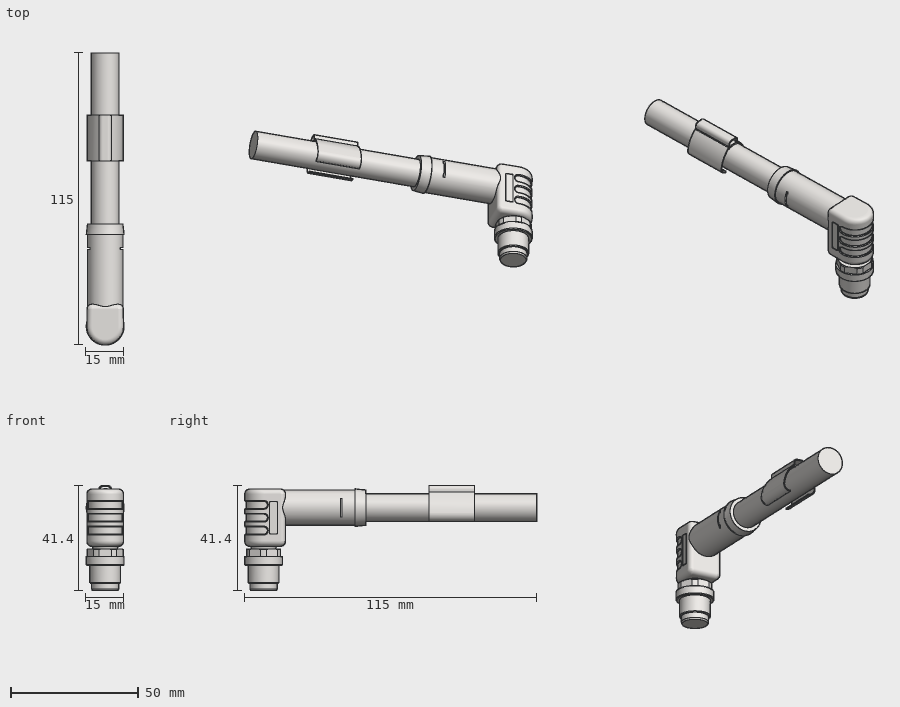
import cadquery as cq
import math


cable_radius = 5.5
cable_end_y = 107.5

front_half_width = 7.2
front_y = -7.5
front_arc_start_y = 0.2
rear_half_width = 7.1
rear_y = 8.6
elbow_top_z = 7.4
elbow_bottom_z = -15.3
elbow_middle_z = (elbow_top_z + elbow_bottom_z) / 2
rear_corner_radius = 1.8
rim_radius = 2.1

groove_count = 3
groove_pitch = 5.1
groove_height = 2.8
groove_depth = 0.6
groove_rear_y = 1.5
groove_edge_bevel = 0.3

label_length = 12.8
label_width = 3.0
label_y = 3.9
label_floor_x = 6.9
label_corner_radius = 0.3

sleeve_radius = 7.0
sleeve_start_y = 4.6
flare_radius = 7.5
flare_start_y = 36.0
sleeve_end_y = 40.2
notch_y = 30.6
notch_width = 0.7
notch_floor_x = 6.0

neck_top_radius = 5.1
neck_bottom_radius = 4.8

hex_top_z = -16.2
collar_top_z = -19.3
collar_bottom_z = -22.8
barrel_bottom_z = -29.8
tip_bottom_z = -32.7
hex_apothem = 6.7
hex_corner_radius = 7.1
hex_turn = 30
collar_radius = 7.5
barrel_radius = 6.1
tip_radius = 5.4
nut_chamfer = 0.3
tip_taper_height = 0.7

clip_start_y = 65.1
clip_length = 17.9
clip_wall = 0.5
clip_top_z = 8.7
clip_bottom_z = -5.4
handle_half_width = 2.5
handle_corner_radius = 1.6
handle_base_z = 6.2
flank_radius = 12.6
clip_half_width = 7.1
flank_bottom_z = -2.3
lip_half_gap = 4.1
floor_outer_radius = 6.3
floor_inner_radius = 5.6


def cylinder_along_y(radius, start_y, end_y):
    return cq.Workplane("XZ", origin=(0, start_y, 0)).circle(radius).extrude(start_y - end_y)


def make_cable():
    return cylinder_along_y(cable_radius, sleeve_end_y, cable_end_y)


def elbow_footprint(inset=0):
    """D-shaped outline seen along the plug axis, moved inwards by the inset at its front and sides."""
    half_width = front_half_width - inset
    rear = rear_half_width - inset
    return (
        cq.Workplane("XY", origin=(0, 0, elbow_bottom_z))
        .moveTo(-rear, rear_y)
        .lineTo(-half_width, front_arc_start_y)
        .threePointArc((0, front_y + inset), (half_width, front_arc_start_y))
        .lineTo(rear, rear_y)
        .close()
    )


def mouth_edges(elbow, middle_z):
    """Edges around a groove at the given height that lie on the outer surface of the elbow."""
    below_surface = elbow_footprint(groove_depth / 3).extrude(elbow_top_z - elbow_bottom_z).val()
    reach = groove_pitch / 3
    return [
        edge
        for edge in elbow.edges().vals()
        if abs(edge.BoundingBox().zmin - middle_z) < reach
        and abs(edge.BoundingBox().zmax - middle_z) < reach
        and not below_surface.isInside(edge.positionAt(0.5))
    ]


def cut_groove(elbow, middle_z):
    """Cut one round-ended groove around the front of the elbow and bevel its outer edges."""
    half_height = groove_height / 2
    slot = (
        cq.Workplane("YZ", origin=(2 * front_y, 0, middle_z))
        .moveTo(2 * front_y, half_height)
        .lineTo(groove_rear_y - half_height, half_height)
        .threePointArc((groove_rear_y, 0), (groove_rear_y - half_height, -half_height))
        .lineTo(2 * front_y, -half_height)
        .close()
        .extrude(-4 * front_y)
    )
    core = elbow_footprint(groove_depth).extrude(elbow_top_z - elbow_bottom_z)
    elbow = elbow.cut(slot.cut(core))
    return elbow.newObject(mouth_edges(elbow, middle_z)).chamfer(groove_edge_bevel)


def make_elbow():
    elbow = elbow_footprint().extrude(elbow_top_z - elbow_bottom_z)
    elbow = elbow.edges("|Z and >Y").fillet(rear_corner_radius)
    elbow = elbow.faces("<Z or >Z").edges().fillet(rim_radius)
    for index in range(groove_count):
        offset = (index - (groove_count - 1) / 2) * groove_pitch
        elbow = cut_groove(elbow, elbow_middle_z + offset)
    return elbow


def cut_label_recesses(housing):
    for side in (-1, 1):
        recess = (
            cq.Workplane("YZ", origin=(side * label_floor_x, 0, 0))
            .center(label_y, elbow_middle_z)
            .rect(label_width, label_length)
            .extrude(side * front_half_width)
            .edges("|X")
            .fillet(label_corner_radius)
        )
        housing = housing.cut(recess)
    return housing


def make_sleeve():
    sleeve = cylinder_along_y(sleeve_radius, sleeve_start_y, flare_start_y)
    flare = (
        cq.Workplane("XZ", origin=(0, flare_start_y, 0))
        .circle(flare_radius)
        .workplane(offset=flare_start_y - sleeve_end_y)
        .circle(sleeve_radius)
        .loft()
    )
    for side in (-1, 1):
        notch = cq.Workplane("XY").box(sleeve_radius, notch_width, 2 * sleeve_radius)
        sleeve = sleeve.cut(notch.translate((side * (notch_floor_x + sleeve_radius / 2), notch_y, 0)))
    return sleeve.union(flare)


def make_neck():
    return (
        cq.Workplane("XY", origin=(0, 0, hex_top_z))
        .circle(neck_bottom_radius)
        .workplane(offset=elbow_bottom_z - hex_top_z)
        .circle(neck_top_radius)
        .loft()
    )


def make_housing():
    return cut_label_recesses(make_elbow().union(make_sleeve()).union(make_neck()))


def make_nut():
    """Coupling nut: hexagon with rounded corners, collar, barrel and tip, stacked downwards."""
    hexagon = (
        cq.Workplane("XY", origin=(0, 0, collar_top_z))
        .transformed(rotate=(0, 0, hex_turn))
        .polygon(6, 2 * hex_apothem, circumscribed=True)
        .extrude(hex_top_z - collar_top_z)
    )
    corner_limit = (
        cq.Workplane("XY", origin=(0, 0, collar_top_z))
        .circle(hex_corner_radius)
        .extrude(hex_top_z - collar_top_z)
        .faces(">Z")
        .chamfer(nut_chamfer)
    )
    turned = (
        cq.Workplane("XZ")
        .moveTo(0, collar_top_z)
        .lineTo(collar_radius, collar_top_z)
        .lineTo(collar_radius, collar_bottom_z + nut_chamfer)
        .lineTo(collar_radius - nut_chamfer, collar_bottom_z)
        .lineTo(barrel_radius, collar_bottom_z)
        .lineTo(barrel_radius, barrel_bottom_z + nut_chamfer)
        .lineTo(barrel_radius - nut_chamfer, barrel_bottom_z)
        .lineTo(tip_radius, barrel_bottom_z)
        .lineTo(tip_radius, tip_bottom_z + tip_taper_height)
        .lineTo(tip_radius - nut_chamfer, tip_bottom_z)
        .lineTo(0, tip_bottom_z)
        .close()
        .revolve(360, (0, 0), (0, 1))
    )
    return hexagon.intersect(corner_limit).union(turned)


def flank_middle(side):
    """Middle point of the bulged clip flank between the handle and the widest place."""
    run = clip_half_width - handle_half_width
    drop = handle_base_z - flank_bottom_z
    chord = math.hypot(run, drop)
    bulge = flank_radius - math.sqrt(flank_radius**2 - (chord / 2) ** 2)
    middle_x = (handle_half_width + clip_half_width) / 2 + bulge * drop / chord
    middle_z = (handle_base_z + flank_bottom_z) / 2 + bulge * run / chord
    return (side * middle_x, middle_z)


def clip_outline():
    """Closed outer section of the clip: handle on top, bulged flanks and a flat bottom."""
    handle_flat = handle_half_width - handle_corner_radius
    handle_side_z = clip_top_z - handle_corner_radius
    diagonal = handle_corner_radius * math.sqrt(0.5)
    corner_x = handle_flat + diagonal
    corner_z = handle_side_z + diagonal
    return (
        cq.Workplane("XZ", origin=(0, clip_start_y, 0))
        .moveTo(-handle_flat, clip_top_z)
        .lineTo(handle_flat, clip_top_z)
        .threePointArc((corner_x, corner_z), (handle_half_width, handle_side_z))
        .lineTo(handle_half_width, handle_base_z)
        .threePointArc(flank_middle(1), (clip_half_width, flank_bottom_z))
        .tangentArcPoint((lip_half_gap, clip_bottom_z), relative=False)
        .lineTo(-lip_half_gap, clip_bottom_z)
        .tangentArcPoint((-clip_half_width, flank_bottom_z), relative=False)
        .threePointArc(flank_middle(-1), (-handle_half_width, handle_base_z))
        .lineTo(-handle_half_width, handle_side_z)
        .threePointArc((-corner_x, corner_z), (-handle_flat, clip_top_z))
        .close()
    )


def make_clip_floor():
    """Curved floor under the handle, close over the cable."""
    clip_end_y = clip_start_y + clip_length
    floor = cylinder_along_y(floor_outer_radius, clip_start_y, clip_end_y)
    floor = floor.cut(cylinder_along_y(floor_inner_radius, clip_start_y, clip_end_y))
    handle_space = (
        cq.Workplane("XZ", origin=(0, clip_start_y, 0))
        .center(0, floor_outer_radius)
        .rect(2 * handle_half_width, floor_outer_radius)
        .extrude(-clip_length)
    )
    return floor.intersect(handle_space)


def make_clip():
    """Thin-walled clip, open along its bottom where the cable passes in."""
    outer = clip_outline().extrude(-clip_length)
    inner = clip_outline().offset2D(-clip_wall).extrude(-clip_length)
    gap = (
        cq.Workplane("XZ", origin=(0, clip_start_y, 0))
        .center(0, clip_bottom_z)
        .rect(2 * lip_half_gap, 4 * clip_wall)
        .extrude(-clip_length)
    )
    return outer.cut(inner).cut(gap).union(make_clip_floor())


cable = make_cable()
housing = make_housing()
nut = make_nut()
clip = make_clip()

bodies = [cable, housing, nut, clip]
result = cq.Compound.makeCompound([body.solids().val() for body in bodies])